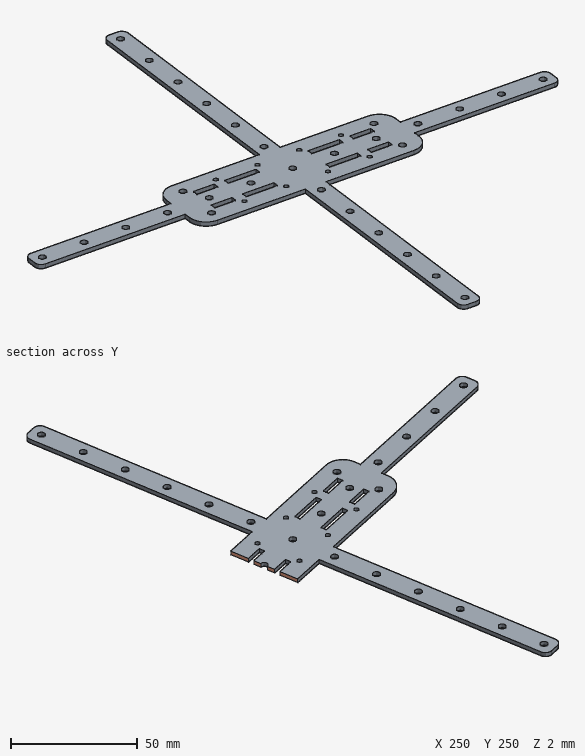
import cadquery as cq

span = 250.0
thickness = 2.0
arm_width = 10.0
arm_corner_radius = 3.0

hub_width = 32.0
hub_length = 110.0
hub_corner_radius = 8.0

hole_pitch = 20.0
holes_per_half_arm = 6
hole_radius = 1.55
hub_hole_x = hole_pitch / 2
corner_hole_y = 45.8
small_hole_radius = 1.02
small_hole_rows = (hole_pitch / 2, 1.5 * hole_pitch)

slot_width = 2.5
slot_x = (arm_width + slot_width) / 2
slot_ends = ((12.5, 27.5), (32.5, 42.5))


def rounded_bar(size_x, size_y, radius):
    """Flat bar centred on the origin with rounded corners."""
    bar = cq.Workplane("XY").rect(size_x, size_y).extrude(thickness)
    return bar.edges("|Z").fillet(radius)


def mirrored(x, y):
    """The four mirror images of a point about the X and Y axes."""
    return [(sx * x, sy * y) for sx in (-1, 1) for sy in (-1, 1)]


def hole_cutter(points, radius):
    """Through cylinders at the given points."""
    return cq.Workplane("XY").pushPoints(points).circle(radius).extrude(thickness)


def slot_cutter(inner_end, outer_end):
    """Four mirrored square-ended through slots."""
    centres = mirrored(slot_x, (inner_end + outer_end) / 2)
    slots = cq.Workplane("XY").pushPoints(centres)
    return slots.rect(slot_width, outer_end - inner_end).extrude(thickness)


plate = rounded_bar(span, arm_width, arm_corner_radius)
plate = plate.union(rounded_bar(arm_width, span, arm_corner_radius))
plate = plate.union(rounded_bar(hub_width, hub_length, hub_corner_radius))

steps = range(-holes_per_half_arm, holes_per_half_arm + 1)
x_arm_holes = [(i * hole_pitch, 0) for i in steps]
y_arm_holes = [(0, i * hole_pitch) for i in steps if i != 0]
plate = plate.cut(hole_cutter(x_arm_holes + y_arm_holes, hole_radius))

plate = plate.cut(hole_cutter(mirrored(hub_hole_x, corner_hole_y), hole_radius))
for row in small_hole_rows:
    plate = plate.cut(hole_cutter(mirrored(hub_hole_x, row), small_hole_radius))

for inner, outer in slot_ends:
    plate = plate.cut(slot_cutter(inner, outer))

result = plate